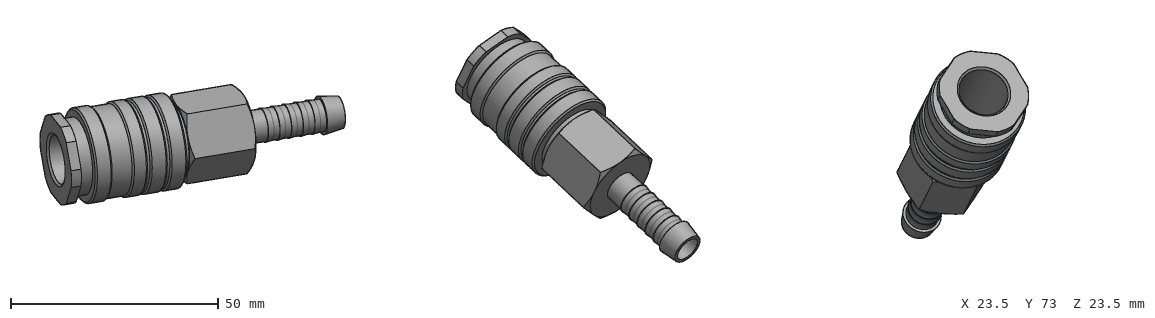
import cadquery as cq
import math

total_length = 73.0

ring_length = 2.55
ring_diameter = 22.1
ring_flats = 21.0
front_neck_diameter = 19.1

sleeve_diameter = 23.5
sleeve_core_diameter = 22.6
sleeve_start = 6.0
sleeve_end = 29.6
band_bevel = (sleeve_diameter - sleeve_core_diameter) / 2
wide_groove_start = 10.4
wide_groove_end = 15.5
narrow_groove_starts = (19.4, 24.5)
narrow_groove_width = 0.65

rear_neck_diameter = 17.95
hex_start = 30.95
hex_end = 48.0
hex_flats = 19.0
hex_bevel_angle = 30.0

stem_diameter = 8.0
tip_barb_diameter = 9.5
tip_barb_length = 4.9
ridge_diameter = 8.5
ridge_count = 5
first_ridge = 53.15
ridge_pitch = 3.0
ridge_length = ridge_pitch / 2

socket_diameter = 12.1
socket_depth = 21.9
mouth_diameter = 13.2
mouth_bevel = (mouth_diameter - socket_diameter) / 2
passage_diameter = 6.35


def cylinder(diameter, start, end):
    """Solid cylinder on the Y axis between two positions."""
    return cone(diameter, diameter, start, end)


def cone(start_diameter, end_diameter, start, end):
    """Solid of revolution on the Y axis, tapering between two diameters."""
    profile = [(0, start), (start_diameter / 2, start), (end_diameter / 2, end), (0, end)]
    return cq.Workplane("XY").polyline(profile).close().revolve(360, (0, 0), (0, 1))


def across_corners(flats):
    """Corner-to-corner size of a regular hexagon with the given size across flats."""
    return flats / math.cos(math.radians(30))


def hexagon(flats, start, end):
    """Hexagonal prism along Y with two corners on the X axis."""
    end_plane = cq.Workplane("XZ", origin=(0, end, 0))
    return end_plane.polygon(6, across_corners(flats)).extrude(end - start)


def lock_ring():
    disc = cylinder(ring_diameter, 0, ring_length)
    return disc.intersect(hexagon(ring_flats, 0, ring_length))


def band(start, end):
    """Raised sleeve band with both edges bevelled down to the sleeve core."""
    return cylinder(sleeve_diameter, start, end).faces("<Y or >Y").chamfer(band_bevel)


def sleeve():
    first, second = narrow_groove_starts
    body = cylinder(sleeve_core_diameter, sleeve_start, sleeve_end)
    body = body.union(band(sleeve_start, wide_groove_start))
    body = body.union(band(wide_groove_end, first))
    body = body.union(band(first + narrow_groove_width, second))
    return body.union(band(second + narrow_groove_width, sleeve_end))


def wrench_hexagon():
    corner_diameter = across_corners(hex_flats)
    bevel = (corner_diameter - hex_flats) / 2 * math.tan(math.radians(hex_bevel_angle))
    envelope = cylinder(corner_diameter, hex_start + bevel, hex_end - bevel)
    envelope = envelope.union(cone(hex_flats, corner_diameter, hex_start, hex_start + bevel))
    envelope = envelope.union(cone(corner_diameter, hex_flats, hex_end - bevel, hex_end))
    return hexagon(hex_flats, hex_start, hex_end).intersect(envelope)


def hose_stem():
    stem = cylinder(stem_diameter, hex_end, total_length)
    for index in range(ridge_count):
        crest = first_ridge + index * ridge_pitch
        stem = stem.union(cone(ridge_diameter, stem_diameter, crest, crest + ridge_length))
    tip_start = total_length - tip_barb_length
    return stem.union(cone(tip_barb_diameter, stem_diameter, tip_start, total_length))


def bores():
    cut = cylinder(passage_diameter, 0, total_length)
    cut = cut.union(cylinder(socket_diameter, 0, socket_depth))
    return cut.union(cone(mouth_diameter, socket_diameter, 0, mouth_bevel))


result = (
    lock_ring()
    .union(cylinder(front_neck_diameter, ring_length, sleeve_start))
    .union(sleeve())
    .union(cylinder(rear_neck_diameter, sleeve_end, hex_start))
    .union(wrench_hexagon())
    .union(hose_stem())
    .cut(bores())
)